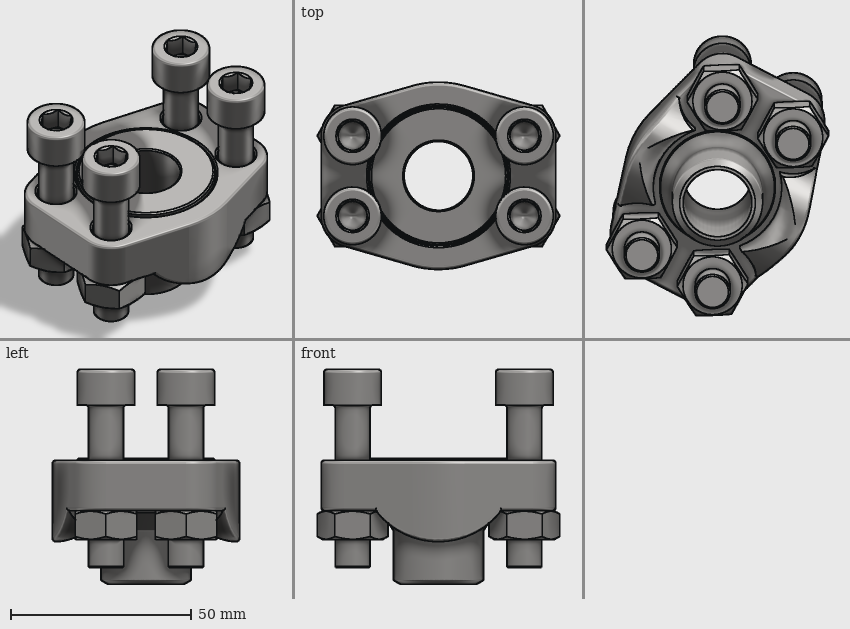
import cadquery as cq
import math

TINY = 0.01

BOLT_X = 23.8
BOLT_Y = 11.1
BOLT_PLACES = [(sx * BOLT_X, sy * BOLT_Y) for sx in (-1, 1) for sy in (-1, 1)]

EAR_BOTTOM_Z = 20.45
BULGE_BOTTOM_Z = 11.8
FLANGE_TOP_Z = 34.4
NECK_TOP_Z = 35.0
SHOULDER_Z = 30.6
BOLT_TIP_Z = 4.6
HEAD_BOTTOM_Z = 49.7
BOLT_TOP_Z = 59.6

WAIST_RADIUS = 52.0 / 2
CORNER_RADIUS = 8.75
BULGE_RADIUS = 21.8
FLANGE_EDGE_FILLET = 1.0
COLLAR_BORE_DIAMETER = 38.9
COLLAR_BORE_CHAMFER = 0.5
NECK_BORE_DIAMETER = 32.15
FLARE_DIAMETER = 35.6
FLARE_RADIUS = 6.7
SPOT_FACE_DIAMETER = 24.2
BOLT_HOLE_DIAMETER = 10.5
BOLT_HOLE_CHAMFER = 0.55

COLLAR_DIAMETER = 38.1
COLLAR_CHAMFER = 0.5
SEAT_DIAMETER = 31.6
CONE_TOP_Z = 19.9
CONE_BOTTOM_Z = 14.9
TUBE_DIAMETER = 25.0
TUBE_BEVEL_WIDTH = 2.0
TUBE_BEVEL_HEIGHT = 1.15
TUBE_END_FILLET = 0.7
THROUGH_BORE_DIAMETER = 19.0
THROUGH_BORE_CHAMFER = 0.4

HEAD_DIAMETER = 16.0
HEAD_FILLET = 1.0
SHANK_DIAMETER = 9.75
TIP_CHAMFER = 0.5
NECK_FILLET = 0.8
SOCKET_FLATS = 8.0
SOCKET_DEPTH = 6.05
SOCKET_ANGLE = 40
DRILL_POINT_ANGLE = 120

NUT_FLATS = 17.0
NUT_HEIGHT = 8.1
NUT_FACE_DIAMETER = 16.4
NUT_CHAMFER_ANGLE = 30


def flange_outline():
    """Closed outline wrapped tangentially round the waist circle and the corner arcs."""
    centre_distance = math.hypot(BOLT_X, BOLT_Y)
    tilt = math.asin((WAIST_RADIUS - CORNER_RADIUS) / centre_distance) - math.atan2(BOLT_Y, BOLT_X)
    normal_x, normal_y = math.sin(tilt), math.cos(tilt)
    middle = math.pi / 4 - tilt / 2

    waist_x, waist_y = WAIST_RADIUS * normal_x, WAIST_RADIUS * normal_y
    slant_x, slant_y = BOLT_X + CORNER_RADIUS * normal_x, BOLT_Y + CORNER_RADIUS * normal_y
    mid_x, mid_y = BOLT_X + CORNER_RADIUS * math.cos(middle), BOLT_Y + CORNER_RADIUS * math.sin(middle)
    side_x = BOLT_X + CORNER_RADIUS
    return (
        cq.Workplane("XY")
        .moveTo(-waist_x, waist_y)
        .threePointArc((0, WAIST_RADIUS), (waist_x, waist_y))
        .lineTo(slant_x, slant_y)
        .threePointArc((mid_x, mid_y), (side_x, BOLT_Y))
        .lineTo(side_x, -BOLT_Y)
        .threePointArc((mid_x, -mid_y), (slant_x, -slant_y))
        .lineTo(waist_x, -waist_y)
        .threePointArc((0, -WAIST_RADIUS), (-waist_x, -waist_y))
        .lineTo(-slant_x, -slant_y)
        .threePointArc((-mid_x, -mid_y), (-side_x, -BOLT_Y))
        .lineTo(-side_x, BOLT_Y)
        .threePointArc((-mid_x, mid_y), (-slant_x, slant_y))
        .close()
    )


def flange_side_profile():
    """Slab seen along Y: flat ears with a round bulge hanging below the middle."""
    drop = BULGE_BOTTOM_Z + BULGE_RADIUS - EAR_BOTTOM_Z
    bulge_x = math.sqrt(BULGE_RADIUS**2 - drop**2)
    half = BOLT_X + CORNER_RADIUS
    return (
        cq.Workplane("XZ")
        .moveTo(-half, FLANGE_TOP_Z)
        .lineTo(-half, EAR_BOTTOM_Z)
        .lineTo(-bulge_x, EAR_BOTTOM_Z)
        .threePointArc((0, BULGE_BOTTOM_Z), (bulge_x, EAR_BOTTOM_Z))
        .lineTo(half, EAR_BOTTOM_Z)
        .lineTo(half, FLANGE_TOP_Z)
        .close()
        .extrude(WAIST_RADIUS, both=True)
    )


def flange_bottom_rim(flange):
    """Edges round the lower outside of the flange, leaving out the creases between ears and bulge."""
    rim = []
    for edge in flange.edges().vals():
        box = edge.BoundingBox()
        along_y_inside = box.xlen < TINY and abs(box.center.x) < BOLT_X
        if box.zmax < EAR_BOTTOM_Z + TINY and not along_y_inside:
            rim.append(edge)
    return flange.newObject(rim)


def flange_bore_tool():
    """Collar seat, neck bore and the flared relief at the lower mouth, as one turned shape."""
    collar_r = COLLAR_BORE_DIAMETER / 2
    flare_r = FLARE_DIAMETER / 2
    diagonal = FLARE_RADIUS * (1 - math.sqrt(0.5))
    return (
        cq.Workplane("XZ")
        .moveTo(0, FLANGE_TOP_Z)
        .lineTo(collar_r + COLLAR_BORE_CHAMFER, FLANGE_TOP_Z)
        .lineTo(collar_r, FLANGE_TOP_Z - COLLAR_BORE_CHAMFER)
        .lineTo(collar_r, SHOULDER_Z)
        .lineTo(NECK_BORE_DIAMETER / 2, SHOULDER_Z)
        .lineTo(NECK_BORE_DIAMETER / 2, EAR_BOTTOM_Z)
        .lineTo(flare_r, EAR_BOTTOM_Z)
        .lineTo(flare_r, BULGE_BOTTOM_Z + FLARE_RADIUS)
        .threePointArc(
            (flare_r + diagonal, BULGE_BOTTOM_Z + diagonal),
            (flare_r + FLARE_RADIUS, BULGE_BOTTOM_Z),
        )
        .lineTo(0, BULGE_BOTTOM_Z)
        .close()
        .revolve(360, (0, 0, 0), (0, 1, 0))
    )


def make_flange():
    flange = flange_outline().extrude(FLANGE_TOP_Z).intersect(flange_side_profile())
    flange = flange.faces(">Z").edges().fillet(FLANGE_EDGE_FILLET)
    flange = flange_bottom_rim(flange).fillet(FLANGE_EDGE_FILLET)
    flange = flange.cut(flange_bore_tool())
    hole_r = BOLT_HOLE_DIAMETER / 2
    holes = cq.Workplane("XY").pushPoints(BOLT_PLACES).circle(hole_r).extrude(FLANGE_TOP_Z)
    spot_faces = cq.Workplane("XY").pushPoints(BOLT_PLACES).circle(SPOT_FACE_DIAMETER / 2).extrude(EAR_BOTTOM_Z)
    mouths = (
        cq.Workplane("XY", origin=(0, 0, FLANGE_TOP_Z))
        .pushPoints(BOLT_PLACES)
        .circle(hole_r + BOLT_HOLE_CHAMFER)
        .extrude(-BOLT_HOLE_CHAMFER, taper=45)
    )
    return flange.cut(spot_faces).cut(holes).cut(mouths)


def make_weld_neck():
    """Turned neck: collar, plain seat, cone and tube, bored right through."""
    collar_r = COLLAR_DIAMETER / 2
    seat_r = SEAT_DIAMETER / 2
    tube_r = TUBE_DIAMETER / 2
    bore_r = THROUGH_BORE_DIAMETER / 2
    neck = (
        cq.Workplane("XZ")
        .moveTo(bore_r, 0)
        .lineTo(tube_r - TUBE_BEVEL_WIDTH, 0)
        .lineTo(tube_r, TUBE_BEVEL_HEIGHT)
        .lineTo(tube_r, CONE_BOTTOM_Z)
        .lineTo(seat_r, CONE_TOP_Z)
        .lineTo(seat_r, SHOULDER_Z)
        .lineTo(collar_r, SHOULDER_Z)
        .lineTo(collar_r, NECK_TOP_Z - COLLAR_CHAMFER)
        .lineTo(collar_r - COLLAR_CHAMFER, NECK_TOP_Z)
        .lineTo(bore_r + THROUGH_BORE_CHAMFER, NECK_TOP_Z)
        .lineTo(bore_r, NECK_TOP_Z - THROUGH_BORE_CHAMFER)
        .close()
        .revolve(360, (0, 0, 0), (0, 1, 0))
    )
    tube_zone = cq.selectors.BoxSelector(
        (-TUBE_DIAMETER, -TUBE_DIAMETER, TUBE_BEVEL_HEIGHT - TINY),
        (TUBE_DIAMETER, TUBE_DIAMETER, CONE_BOTTOM_Z + TINY),
    )
    return neck.edges("%CIRCLE").edges(tube_zone).fillet(TUBE_END_FILLET)


def make_bolt(x, y):
    """Socket head cap screw, standing head up."""
    head_height = BOLT_TOP_Z - HEAD_BOTTOM_Z
    head = (
        cq.Workplane("XY", origin=(0, 0, HEAD_BOTTOM_Z))
        .circle(HEAD_DIAMETER / 2)
        .extrude(head_height)
        .faces(">Z").edges().fillet(HEAD_FILLET)
    )
    shank = (
        cq.Workplane("XY", origin=(0, 0, BOLT_TIP_Z))
        .circle(SHANK_DIAMETER / 2)
        .extrude(HEAD_BOTTOM_Z - BOLT_TIP_Z)
        .faces("<Z").edges().chamfer(TIP_CHAMFER)
    )
    bolt = head.union(shank)
    under_head = cq.selectors.BoxSelector(
        (-SHANK_DIAMETER, -SHANK_DIAMETER, HEAD_BOTTOM_Z - TINY),
        (SHANK_DIAMETER, SHANK_DIAMETER, HEAD_BOTTOM_Z + TINY),
    )
    inner_edges = bolt.edges(under_head).edges(cq.selectors.RadiusNthSelector(0))
    bolt = inner_edges.fillet(NECK_FILLET).cut(bolt_socket())
    return bolt.translate((x, y, 0))


def bolt_socket():
    """Hexagon socket with a conical mouth and a drill point at its floor."""
    corner_r = SOCKET_FLATS / math.sqrt(3)
    flat_r = SOCKET_FLATS / 2
    floor_z = BOLT_TOP_Z - SOCKET_DEPTH
    point_depth = flat_r / math.tan(math.radians(DRILL_POINT_ANGLE / 2))
    hexagon = (
        cq.Workplane("XY", origin=(0, 0, floor_z))
        .polygon(6, 2 * corner_r)
        .extrude(SOCKET_DEPTH)
        .rotate((0, 0, 0), (0, 0, 1), SOCKET_ANGLE)
    )
    mouth_and_point = (
        cq.Workplane("XZ")
        .moveTo(0, BOLT_TOP_Z)
        .lineTo(corner_r, BOLT_TOP_Z)
        .lineTo(flat_r, BOLT_TOP_Z - (corner_r - flat_r))
        .lineTo(flat_r, floor_z)
        .lineTo(0, floor_z - point_depth)
        .close()
        .revolve(360, (0, 0, 0), (0, 1, 0))
    )
    return hexagon.union(mouth_and_point)


def make_nut(x, y):
    """Hexagon nut under an ear, with both faces chamfered round."""
    corner_r = NUT_FLATS / math.sqrt(3)
    face_r = NUT_FACE_DIAMETER / 2
    slope = (corner_r - face_r) * math.tan(math.radians(NUT_CHAMFER_ANGLE))
    bottom_z = EAR_BOTTOM_Z - NUT_HEIGHT
    hexagon = (
        cq.Workplane("XY", origin=(0, 0, bottom_z))
        .polygon(6, 2 * corner_r)
        .circle(SHANK_DIAMETER / 2)
        .extrude(NUT_HEIGHT)
    )
    turned_blank = (
        cq.Workplane("XZ")
        .moveTo(0, bottom_z)
        .lineTo(face_r, bottom_z)
        .lineTo(corner_r, bottom_z + slope)
        .lineTo(corner_r, EAR_BOTTOM_Z - slope)
        .lineTo(face_r, EAR_BOTTOM_Z)
        .lineTo(0, EAR_BOTTOM_Z)
        .close()
        .revolve(360, (0, 0, 0), (0, 1, 0))
    )
    return hexagon.intersect(turned_blank).translate((x, y, 0))


flange = make_flange()
weld_neck = make_weld_neck()
bolts = [make_bolt(x, y) for x, y in BOLT_PLACES]
nuts = [make_nut(x, y) for x, y in BOLT_PLACES]

result = cq.Compound.makeCompound(
    [flange.val(), weld_neck.val()]
    + [bolt.val() for bolt in bolts]
    + [nut.val() for nut in nuts]
)